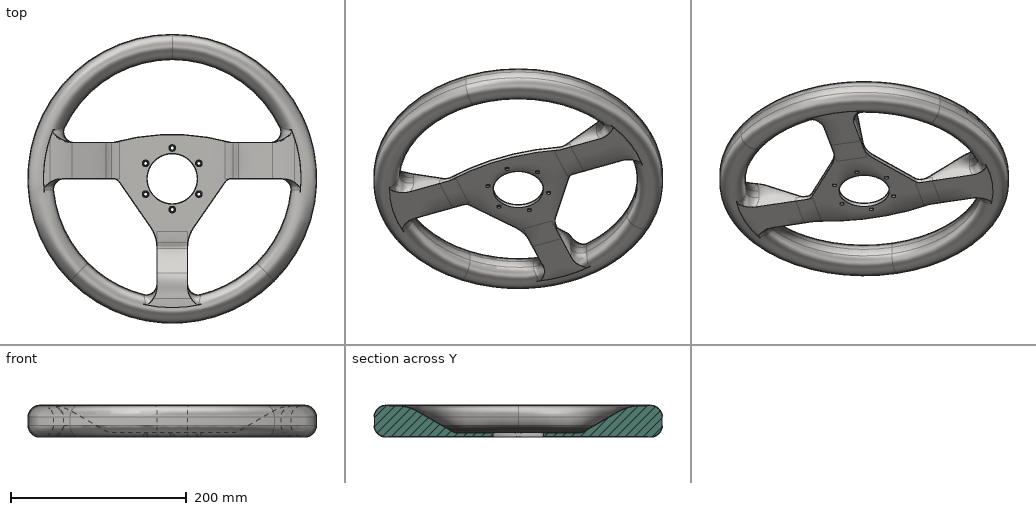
import cadquery as cq
import math

RIM_OUTER_RADIUS = 164.3
RIM_HEIGHT = 36.5
RIM_WIDTH = 28.7
RIM_FLAT_HEIGHT = 9.4
RIM_INNER_RADIUS = RIM_OUTER_RADIUS - RIM_WIDTH
RIM_MID_RADIUS = RIM_OUTER_RADIUS - RIM_WIDTH / 2

SPOKE_TOP = 17.75
SPOKE_BOTTOM = -SPOKE_TOP
SPOKE_ROOT_X = 60.0
SPOKE_BEND_RADIUS = 12.0
SPOKE_CREST_RADIUS = 50.0
SPOKE_RIM_FILLET = 12.0
SIDE_SPOKE_WIDTH = 41.3
SIDE_SPOKE_ANGLE = 30.0
SIDE_SPOKE_CREST_START = 139.0
LOWER_SPOKE_WIDTH = 35.0
LOWER_SPOKE_ANGLE = 35.0
LOWER_SPOKE_CREST_START = 136.0

SPOKE_SIDE_CLEARANCE = 15.0
BEAM_HEIGHT = 1.5 * RIM_HEIGHT

RIM_ARC_RISE = (RIM_HEIGHT - RIM_FLAT_HEIGHT) / 2
RIM_ARC_RADIUS = ((RIM_WIDTH / 2) ** 2 + RIM_ARC_RISE**2) / (2 * RIM_ARC_RISE)
RIM_ARC_CENTRE_Z = RIM_HEIGHT / 2 - RIM_ARC_RADIUS
SEAT_OVERLAP = 0.4
MEETING_INSET = math.sqrt(RIM_ARC_RADIUS**2 - (SPOKE_TOP - RIM_ARC_CENTRE_Z) ** 2)
SEAT_RADIUS = RIM_MID_RADIUS - MEETING_INSET + SEAT_OVERLAP

PLATE_THICKNESS = 4.75
PLATE_TOP = SPOKE_BOTTOM + PLATE_THICKNESS
CROWN_HEIGHT = 50.5
CROWN_HALF_WIDTH = 67.0
PLATE_HALF_WIDTH = 80.0
PLATE_LOWER_REACH = 90.0
FLANK_TOP_X = 62.8
FLANK_FOOT_Y = -65.5
FLANK_TOP_FILLET = 8.0
FLANK_FOOT_FILLET = 40.0
CENTRE_HOLE_DIAMETER = 57.0

SCREW_COUNT = 6
SCREW_CIRCLE_RADIUS = 35.0
SCREW_HOLE_DIAMETER = 4.5
SCREW_HEAD_DIAMETER = 7.5
COUNTERSINK_ANGLE = 90.0


def make_rim_sector(start_angle, end_angle):
    half_flat = RIM_FLAT_HEIGHT / 2
    crest = RIM_HEIGHT / 2
    section = (
        cq.Workplane("XZ")
        .moveTo(RIM_OUTER_RADIUS, -half_flat)
        .lineTo(RIM_OUTER_RADIUS, half_flat)
        .threePointArc((RIM_MID_RADIUS, crest), (RIM_INNER_RADIUS, half_flat))
        .lineTo(RIM_INNER_RADIUS, -half_flat)
        .threePointArc((RIM_MID_RADIUS, -crest), (RIM_OUTER_RADIUS, -half_flat))
        .close()
    )
    sector = section.revolve(end_angle - start_angle, (0, 0, 0), (0, 1, 0))
    return sector.rotate((0, 0, 0), (0, 0, 1), start_angle)


def make_plate():
    half_stem = LOWER_SPOKE_WIDTH / 2
    plate = (
        cq.Workplane("XY", origin=(0, 0, SPOKE_BOTTOM))
        .moveTo(-PLATE_HALF_WIDTH, SIDE_SPOKE_WIDTH)
        .lineTo(-CROWN_HALF_WIDTH, SIDE_SPOKE_WIDTH)
        .threePointArc((0, CROWN_HEIGHT), (CROWN_HALF_WIDTH, SIDE_SPOKE_WIDTH))
        .lineTo(PLATE_HALF_WIDTH, SIDE_SPOKE_WIDTH)
        .lineTo(PLATE_HALF_WIDTH, 0)
        .lineTo(FLANK_TOP_X, 0)
        .lineTo(half_stem, FLANK_FOOT_Y)
        .lineTo(half_stem, -PLATE_LOWER_REACH)
        .lineTo(-half_stem, -PLATE_LOWER_REACH)
        .lineTo(-half_stem, FLANK_FOOT_Y)
        .lineTo(-FLANK_TOP_X, 0)
        .lineTo(-PLATE_HALF_WIDTH, 0)
        .close()
        .extrude(PLATE_THICKNESS)
    )
    for corner_x, corner_y, radius in (
        (FLANK_TOP_X, 0, FLANK_TOP_FILLET),
        (half_stem, FLANK_FOOT_Y, FLANK_FOOT_FILLET),
    ):
        for side in (-1, 1):
            corner = cq.selectors.NearestToPointSelector((side * corner_x, corner_y, PLATE_TOP))
            plate = plate.edges("|Z").edges(corner).fillet(radius)
    return plate


def make_space_above(y_min, width, ramp_angle, crest_start):
    """Space above a spoke along +X, bounded below by a bend, a straight ramp and a crest, all tangent."""
    angle = math.radians(ramp_angle)

    def crest_point(turn):
        return (
            crest_start - SPOKE_CREST_RADIUS * math.sin(turn),
            SPOKE_TOP - SPOKE_CREST_RADIUS * (1 - math.cos(turn)),
        )

    ramp_end_x, ramp_end_z = crest_point(angle)
    ramp_foot_x = ramp_end_x - (ramp_end_z - PLATE_TOP) / math.tan(angle)
    bend_start = ramp_foot_x - SPOKE_BEND_RADIUS * math.tan(angle / 2)

    def bend_point(turn):
        return (
            bend_start + SPOKE_BEND_RADIUS * math.sin(turn),
            PLATE_TOP + SPOKE_BEND_RADIUS * (1 - math.cos(turn)),
        )

    half_span = width / 2 + SPOKE_SIDE_CLEARANCE
    return (
        cq.Workplane("XZ", origin=(0, y_min + width / 2, 0))
        .moveTo(0, BEAM_HEIGHT)
        .lineTo(0, PLATE_TOP)
        .lineTo(bend_start, PLATE_TOP)
        .threePointArc(bend_point(angle / 2), bend_point(angle))
        .lineTo(ramp_end_x, ramp_end_z)
        .threePointArc(crest_point(angle / 2), (crest_start, SPOKE_TOP))
        .lineTo(RIM_OUTER_RADIUS, SPOKE_TOP)
        .lineTo(RIM_OUTER_RADIUS, BEAM_HEIGHT)
        .close()
        .extrude(half_span, both=True)
    )


def make_spoke_sector(start_angle, end_angle, y_min, width, ramp_angle, crest_start):
    """Sector of the rim carrying one spoke along +X.

    A tall beam is run right through the rim and filleted against it. The part inside SEAT_RADIUS is then
    cut down to the height and ramp of the spoke, and the plain rim takes over outside that radius.
    """
    rim = make_rim_sector(start_angle, end_angle)
    beam_length = RIM_OUTER_RADIUS + RIM_WIDTH - SPOKE_ROOT_X
    beam = (
        cq.Workplane("XY")
        .box(beam_length, width, 2 * BEAM_HEIGHT, centered=(False, False, True))
        .translate((SPOKE_ROOT_X, y_min, 0))
    )
    margin = SPOKE_RIM_FILLET / 2
    joint_region = cq.selectors.BoxSelector(
        (SPOKE_ROOT_X + margin, y_min - margin, -RIM_HEIGHT),
        (RIM_OUTER_RADIUS + margin, y_min + width + margin, RIM_HEIGHT),
    )
    blended = rim.union(beam).edges(joint_region).fillet(SPOKE_RIM_FILLET)

    core = cq.Workplane("XY").circle(SEAT_RADIUS).extrude(BEAM_HEIGHT, both=True)
    space_above = make_space_above(y_min, width, ramp_angle, crest_start)
    space_below = (
        cq.Workplane("XY")
        .box(RIM_OUTER_RADIUS, width + 2 * SPOKE_SIDE_CLEARANCE, BEAM_HEIGHT, centered=(False, True, False))
        .translate((0, y_min + width / 2, SPOKE_BOTTOM - BEAM_HEIGHT))
    )
    spoke = blended.intersect(core).cut(space_above).cut(space_below)
    return rim.cut(core).union(spoke)


def cut_hub_holes(plate):
    hub = cq.Workplane("XY", origin=(0, 0, SPOKE_BOTTOM))
    bored = plate.cut(hub.circle(CENTRE_HOLE_DIAMETER / 2).extrude(PLATE_THICKNESS))
    return (
        bored.faces(">Z")
        .workplane(origin=(0, 0, PLATE_TOP))
        .polarArray(SCREW_CIRCLE_RADIUS, 90, 360, SCREW_COUNT)
        .cskHole(SCREW_HOLE_DIAMETER, SCREW_HEAD_DIAMETER, COUNTERSINK_ANGLE)
    )


right_sector = make_spoke_sector(
    -45, 90, 0, SIDE_SPOKE_WIDTH, SIDE_SPOKE_ANGLE, SIDE_SPOKE_CREST_START
)
left_sector = right_sector.mirror("YZ")
lower_sector = make_spoke_sector(
    -45, 45, -LOWER_SPOKE_WIDTH / 2, LOWER_SPOKE_WIDTH, LOWER_SPOKE_ANGLE, LOWER_SPOKE_CREST_START
).rotate((0, 0, 0), (0, 0, 1), -90)
hub_plate = cut_hub_holes(make_plate())

result = right_sector
for piece in (left_sector, lower_sector, hub_plate):
    result = result.union(piece, clean=False)